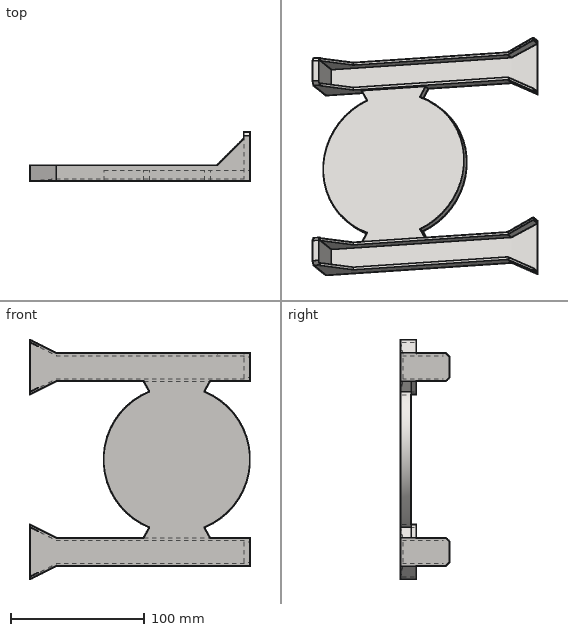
import cadquery as cq
import math

length = 165.0
depth = 37.0
span = 179.6

arm_width = 21.2
arm_depth = 12.0
wall = 2.0
flare_length = 20.0
flare_width = 41.1
flare_web_tip = 0.2
arm_offset = (span - flare_width) / 2
arm_inner_edge = arm_offset - arm_width / 2

end_wall = 4.8
end_chamfer = 2.9
gusset_size = 20.0

disc_diameter = 110.0
disc_thickness = 8.0
neck_arm_half_width = 25.0
neck_disc_half_width = 20.7
disc_radius = disc_diameter / 2
disc_x = length - disc_radius


def extrude_depth(outline, thickness):
    """Extrude an X-Z outline from the front face toward +Y."""
    return cq.Workplane("XZ").polyline(outline).close().extrude(-thickness)


def extrude_width(outline, width):
    """Extrude an X-Y outline symmetrically about Z = 0."""
    return cq.Workplane("XY").polyline(outline).close().extrude(width / 2, both=True)


def arm_outline(inset):
    """Flared arm outline, with its long edges moved inward in Z."""
    tip = flare_width / 2 - inset
    half = arm_width / 2 - inset
    return [(0, -tip), (flare_length, -half), (length, -half),
            (length, half), (flare_length, half), (0, tip)]


def arm():
    """One channel arm, centred on Z = 0 and open toward +Y."""
    wall_x = length - end_wall
    blank = extrude_depth(arm_outline(0), depth)
    side_profile = [
        (0, 0),
        (length, 0),
        (length, depth),
        (wall_x, depth),
        (wall_x, arm_depth + gusset_size),
        (wall_x - gusset_size, arm_depth),
        (0, arm_depth),
    ]
    body = blank.intersect(extrude_width(side_profile, flare_width))

    cavity_profile = [
        (0, flare_web_tip),
        (flare_length, wall),
        (wall_x, wall),
        (wall_x, depth),
        (0, depth),
    ]
    cavity = extrude_depth(arm_outline(wall), depth)
    cavity = cavity.intersect(extrude_width(cavity_profile, flare_width))
    body = body.cut(cavity)
    return body.edges("|X and >Y").chamfer(end_chamfer)


def neck():
    """Tapered neck from the disc to the inner edge of the upper arm."""
    disc_edge = math.sqrt(disc_radius**2 - neck_disc_half_width**2)
    outline = [
        (disc_x - neck_disc_half_width, disc_edge),
        (disc_x + neck_disc_half_width, disc_edge),
        (disc_x + neck_arm_half_width, arm_inner_edge),
        (disc_x - neck_arm_half_width, arm_inner_edge),
    ]
    return extrude_depth(outline, disc_thickness)


disc = cq.Workplane("XZ").center(disc_x, 0).circle(disc_radius).extrude(-disc_thickness)
upper_half = arm().translate((0, 0, arm_offset)).union(neck())
result = disc.union(upper_half).union(upper_half.mirror("XY"))